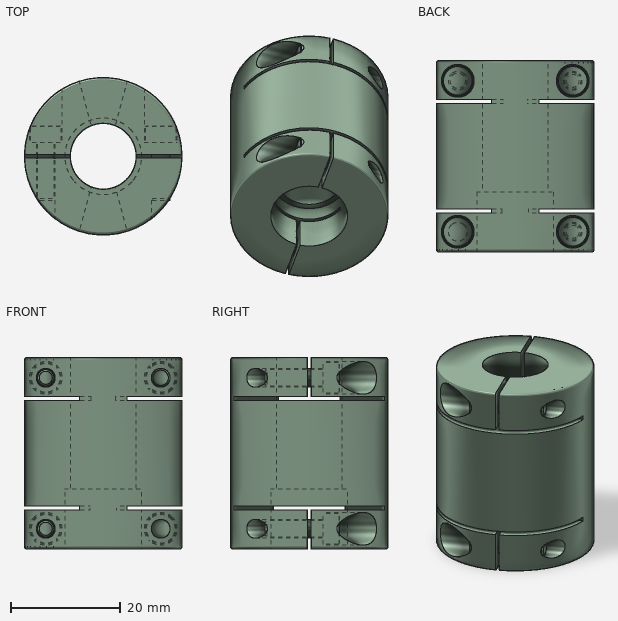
import cadquery as cq
import math

length = 35.0
outer_diameter = 28.8
outer_radius = outer_diameter / 2
bore_diameter = 12.0
bottom_bore_diameter = 14.0
bottom_bore_depth = 10.95
rim_fillet = 0.5

hub_height = 7.15
cut_width = 0.7

web_rim_width = 8.75
web_side_angle = 15.0

screw_spacing = 21.0
screw_end_distance = 3.7
screw_z = length / 2 - screw_end_distance
screw_hole_diameter = 3.43
loose_shank_diameter = 3.0
tip_y = -8.05
tip_chamfer = 0.3

counterbore_diameter = 6.0
head_diameter = 5.53
head_height = 3.0
head_chamfer = 0.15
head_top_y = 5.55
seat_y = head_top_y - head_height


def cylinder_along_y(diameter, x, z, start_y, end_y):
    """Cylinder parallel to Y between two Y positions."""
    return (
        cq.Workplane("XZ", origin=(x, start_y, z))
        .circle(diameter / 2)
        .extrude(start_y - end_y)
    )


def body():
    blank = (
        cq.Workplane("XY")
        .circle(outer_radius)
        .extrude(length / 2, both=True)
        .edges()
        .fillet(rim_fillet)
    )
    bore = cq.Workplane("XY").circle(bore_diameter / 2).extrude(length / 2, both=True)
    bottom_bore = (
        cq.Workplane("XY", origin=(0, 0, -length / 2))
        .circle(bottom_bore_diameter / 2)
        .extrude(bottom_bore_depth)
    )
    return blank.cut(bore).cut(bottom_bore)


def web(z):
    """Tapered +Y web; its sides meet the rim at web_rim_width and narrow towards the axis."""
    rim_y = math.sqrt(outer_radius**2 - (web_rim_width / 2) ** 2)
    side_slope = math.tan(math.radians(web_side_angle))
    outer_half_width = web_rim_width / 2 + (outer_radius - rim_y) * side_slope
    axis_half_width = web_rim_width / 2 - rim_y * side_slope
    return (
        cq.Workplane("XY", origin=(0, 0, z))
        .moveTo(-axis_half_width, 0)
        .lineTo(axis_half_width, 0)
        .lineTo(outer_half_width, outer_radius)
        .lineTo(-outer_half_width, outer_radius)
        .close()
        .extrude(cut_width / 2, both=True)
    )


def hub_cuts(end):
    """Slot and split that free one clamp hub (end = 1 for the top, -1 for the bottom)."""
    slot_z = end * (length / 2 - hub_height - cut_width / 2)
    slot = cq.Workplane("XY", origin=(0, 0, slot_z)).box(outer_diameter, outer_diameter, cut_width)
    slot = slot.cut(web(slot_z)).cut(web(slot_z).mirror("XZ"))
    split_z = end * (length - hub_height) / 2
    split = cq.Workplane("XY", origin=(0, 0, split_z)).box(outer_diameter, cut_width, hub_height)
    return slot.union(split)


def screw_hole(x, z):
    """Through hole with a counterbore open to the +Y side."""
    hole = cylinder_along_y(screw_hole_diameter, x, z, -outer_radius, outer_radius)
    counterbore = cylinder_along_y(counterbore_diameter, x, z, seat_y, outer_radius)
    return hole.union(counterbore)


def screw(x, z, shank_diameter, chamfered_tip):
    """Cap screw whose head rests on the counterbore seat and whose tip faces -Y."""
    shank = cylinder_along_y(shank_diameter, x, z, tip_y, seat_y)
    if chamfered_tip:
        shank = shank.faces("<Y").chamfer(tip_chamfer)
    head = cylinder_along_y(head_diameter, x, z, seat_y, head_top_y)
    return shank.union(head.faces(">Y").chamfer(head_chamfer))


result = body()

for end in (1, -1):
    result = result.cut(hub_cuts(end))
    for side in (-1, 1):
        x = side * screw_spacing / 2
        z = end * screw_z
        shank_diameter = loose_shank_diameter if side < 0 else screw_hole_diameter
        chamfered_tip = side < 0 or end > 0
        result = result.cut(screw_hole(x, z))
        result = result.union(screw(x, z, shank_diameter, chamfered_tip))